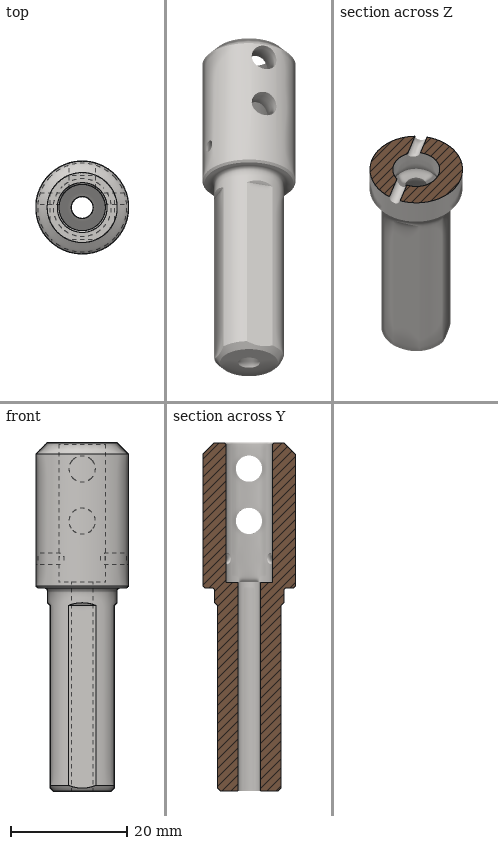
import cadquery as cq
import math

total_height = 60
head_diameter = 16.0
head_bottom = 35.0
head_top_chamfer = 2.0
head_bottom_chamfer = 0.35
shank_diameter = 12
shank_chamfer = 1.0

neck_fillet = 0.5

flat_count = 4
flat_distance = 5.5
flat_top = 32.0

bore_diameter = 8.0
bore_depth = 24
bore_chamfer = 0.3
through_diameter = 3.7

screw_hole_diameter = 4.5
screw_hole_depths = (4.5, 13.5)
pin_hole_diameter = 2.0
pin_hole_y = 1.5
pin_hole_z = 40.0

head_radius = head_diameter / 2
shank_radius = shank_diameter / 2


def turned_body():
    neck_blend = neck_fillet * (1 - math.sqrt(0.5))
    return (
        cq.Workplane("XZ")
        .moveTo(0, 0)
        .lineTo(shank_radius - shank_chamfer, 0)
        .lineTo(shank_radius, shank_chamfer)
        .lineTo(shank_radius, head_bottom - neck_fillet)
        .threePointArc(
            (shank_radius + neck_blend, head_bottom - neck_blend),
            (shank_radius + neck_fillet, head_bottom),
        )
        .lineTo(head_radius - head_bottom_chamfer, head_bottom)
        .lineTo(head_radius, head_bottom + head_bottom_chamfer)
        .lineTo(head_radius, total_height - head_top_chamfer)
        .lineTo(head_radius - head_top_chamfer, total_height)
        .lineTo(0, total_height)
        .close()
        .revolve(360, (0, 0), (0, 1))
    )


def flat_cutter():
    ramp_height = shank_radius - flat_distance
    return (
        cq.Workplane("XZ")
        .moveTo(flat_distance, 0)
        .lineTo(shank_radius, 0)
        .lineTo(shank_radius, flat_top + ramp_height)
        .lineTo(flat_distance, flat_top)
        .close()
        .extrude(shank_radius, both=True)
    )


def axial_bore():
    bore_radius = bore_diameter / 2
    bore_floor = total_height - bore_depth
    through_radius = through_diameter / 2
    return (
        cq.Workplane("XZ")
        .moveTo(0, 0)
        .lineTo(through_radius, 0)
        .lineTo(through_radius, bore_floor)
        .lineTo(bore_radius, bore_floor)
        .lineTo(bore_radius, total_height - bore_chamfer)
        .lineTo(bore_radius + bore_chamfer, total_height)
        .lineTo(0, total_height)
        .close()
        .revolve(360, (0, 0), (0, 1))
    )


def screw_hole(depth_below_top):
    center = cq.Vector(0, 0, total_height - depth_below_top)
    hole = cq.Solid.makeCylinder(screw_hole_diameter / 2, head_radius, center, cq.Vector(0, 1, 0))
    return cq.Workplane(hole)


def pin_hole():
    start = cq.Vector(-head_radius, pin_hole_y, pin_hole_z)
    hole = cq.Solid.makeCylinder(pin_hole_diameter / 2, head_diameter, start, cq.Vector(1, 0, 0))
    return cq.Workplane(hole)


result = turned_body()
for index in range(flat_count):
    turn = index * 360 / flat_count
    result = result.cut(flat_cutter().rotate((0, 0, 0), (0, 0, 1), turn))
result = result.cut(axial_bore())
for depth in screw_hole_depths:
    result = result.cut(screw_hole(depth))
result = result.cut(pin_hole())